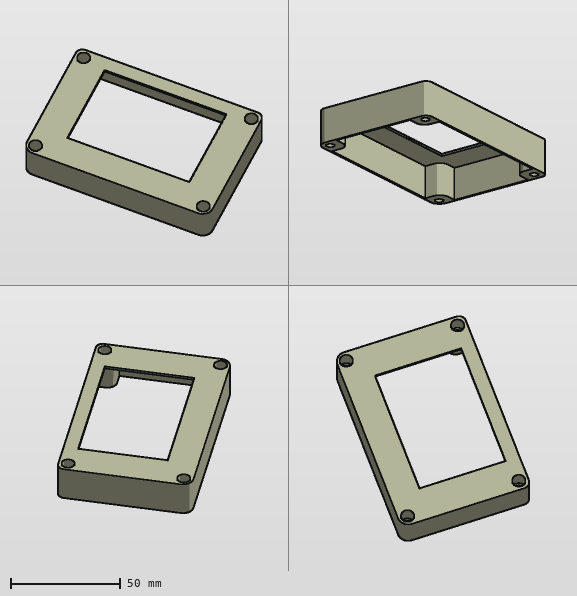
import cadquery as cq

length = 93.0
width = 63.0
height = 17.0
wall = 1.0
top_thickness = 1.2
front_corner_radius = 4.9
back_corner_radius = 3.35

window_length = 61.0
window_width = 41.8
window_center_y = 3.8

hole_inset = 4.5
hole_diameter = 4.0
counterbore_diameter = 6.0
block_size = 10.6
block_radius = 4.65

counterbore_depth = height / 2

top_z = height / 2
bottom_z = -height / 2
cavity_depth = height - top_thickness


def rounded_plate(inset, depth):
    """Prism rising from the bottom, inset evenly from the outer outline."""
    plate = (
        cq.Workplane("XY", origin=(0, 0, bottom_z))
        .rect(length - 2 * inset, width - 2 * inset)
        .extrude(depth)
    )
    plate = plate.edges("|Z and <Y").fillet(front_corner_radius - inset)
    return plate.edges("|Z and >Y").fillet(back_corner_radius - inset)


def corner_block(side_x, side_y):
    """Square block in one corner, rounded on its edge facing the cavity."""
    center = (side_x * (length - block_size) / 2, side_y * (width - block_size) / 2)
    block = (
        cq.Workplane("XY", origin=(0, 0, bottom_z))
        .center(*center)
        .rect(block_size, block_size)
        .extrude(cavity_depth)
    )
    inner_x = "<X" if side_x > 0 else ">X"
    inner_y = "<Y" if side_y > 0 else ">Y"
    return block.edges("|Z").edges(inner_x).edges(inner_y).fillet(block_radius)


outer = rounded_plate(0, height)

cavity = rounded_plate(wall, cavity_depth)
for side_x in (-1, 1):
    for side_y in (-1, 1):
        cavity = cavity.cut(corner_block(side_x, side_y))

window = (
    cq.Workplane("XY", origin=(0, window_center_y, bottom_z))
    .rect(window_length, window_width)
    .extrude(height)
)

result = (
    outer.cut(cavity)
    .cut(window)
    .copyWorkplane(cq.Workplane("XY", origin=(0, 0, top_z)))
    .rect(length - 2 * hole_inset, width - 2 * hole_inset, forConstruction=True)
    .vertices()
    .cboreHole(hole_diameter, counterbore_diameter, counterbore_depth)
)